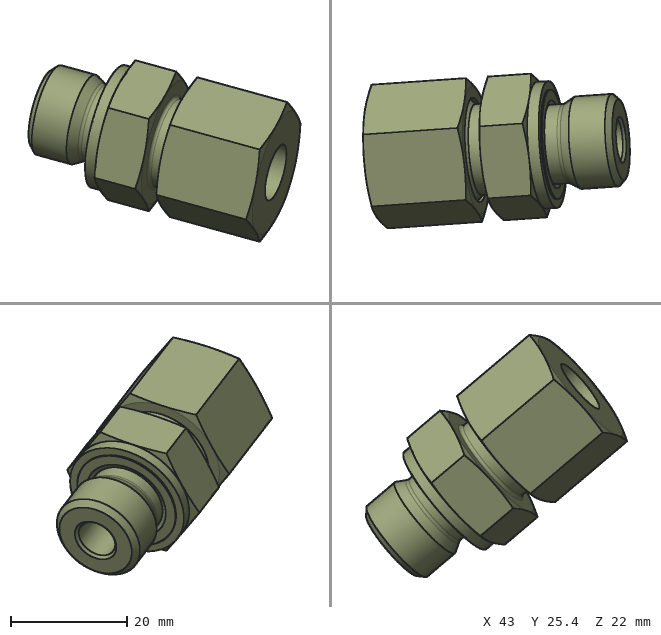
import cadquery as cq
import math


stud_diameter = 16.0
stud_end_diameter = 13.9
stud_chamfer = (stud_diameter - stud_end_diameter) / 2
thread_end_x = 7.45
relief_diameter = 13.7
relief_angle = math.radians(30)
relief_fillet = 1.2

collar_x = 12.05
hex_start_x = 14.05
hex_end_x = 22.5
across_flats = 22.0
collar_diameter = 21.9
hex_chamfer_angle = math.radians(15)

seal_diameter = 18.9
seal_proud = 0.27
seal_width = 1.5
seal_chamfer_depth = seal_proud
seal_chamfer_width = 0.75
seal_x = collar_x - seal_proud

neck_diameter = 15.7
neck_fillet = 0.6
tail_diameter = 18.0
tail_chamfer_x = 25.15
tail_chamfer = (tail_diameter - neck_diameter) / 2
tail_end_x = 36.0

bore_diameter = 7.0
bore_mouth_diameter = 8.0
bore_chamfer = (bore_mouth_diameter - bore_diameter) / 2

nut_x = 25.5
nut_end_x = 43.0
tube_diameter = 10.0


def cylinder(diameter, start_x, end_x):
    """Round bar along X."""
    return cq.Workplane("YZ", origin=(start_x, 0, 0)).circle(diameter / 2).extrude(end_x - start_x)


def chamfered_hexagon(start_x, end_x):
    """Hexagon along X with corners on +Y and -Y, both ends turned to a shallow cone."""
    corner_radius = across_flats / math.sqrt(3)
    flat_radius = across_flats / 2
    chamfer_length = (corner_radius - flat_radius) * math.tan(hex_chamfer_angle)
    prism = (
        cq.Workplane("YZ", origin=(start_x, 0, 0))
        .polygon(6, 2 * corner_radius)
        .extrude(end_x - start_x)
    )
    envelope = (
        cq.Workplane("XY")
        .moveTo(start_x, 0)
        .lineTo(start_x, flat_radius)
        .lineTo(start_x + chamfer_length, corner_radius)
        .lineTo(end_x - chamfer_length, corner_radius)
        .lineTo(end_x, flat_radius)
        .lineTo(end_x, 0)
        .close()
        .revolve(360, (0, 0, 0), (1, 0, 0))
    )
    return prism.intersect(envelope)


def make_stud():
    """Chamfered stud with a filleted conical run-out into the thread relief."""
    stud_radius = stud_diameter / 2
    relief_radius = relief_diameter / 2
    fillet_start_radius = relief_radius + relief_fillet * (1 - math.cos(relief_angle))
    fillet_start_x = thread_end_x + (stud_radius - fillet_start_radius) / math.tan(relief_angle)
    fillet_end_x = fillet_start_x + relief_fillet * math.sin(relief_angle)
    half_angle = relief_angle / 2
    fillet_middle = (
        fillet_end_x - relief_fillet * math.sin(half_angle),
        relief_radius + relief_fillet * (1 - math.cos(half_angle)),
    )
    return (
        cq.Workplane("XY")
        .lineTo(0, stud_end_diameter / 2)
        .lineTo(stud_chamfer, stud_radius)
        .lineTo(thread_end_x, stud_radius)
        .lineTo(fillet_start_x, fillet_start_radius)
        .threePointArc(fillet_middle, (fillet_end_x, relief_radius))
        .lineTo(hex_start_x, relief_radius)
        .lineTo(hex_start_x, 0)
        .close()
        .revolve(360, (0, 0, 0), (1, 0, 0))
    )


def make_tail():
    """Neck with a fillet at the hexagon, opening by a 45 degree cone to the thread diameter."""
    neck_radius = neck_diameter / 2
    tail_radius = tail_diameter / 2
    diagonal = neck_fillet * math.sqrt(0.5)
    fillet_center = (hex_end_x + neck_fillet, neck_radius + neck_fillet)
    return (
        cq.Workplane("XY")
        .moveTo(hex_end_x, 0)
        .lineTo(hex_end_x, neck_radius + neck_fillet)
        .threePointArc(
            (fillet_center[0] - diagonal, fillet_center[1] - diagonal),
            (fillet_center[0], neck_radius),
        )
        .lineTo(tail_chamfer_x, neck_radius)
        .lineTo(tail_chamfer_x + tail_chamfer, tail_radius)
        .lineTo(tail_end_x, tail_radius)
        .lineTo(tail_end_x, 0)
        .close()
        .revolve(360, (0, 0, 0), (1, 0, 0))
    )


def make_seal():
    """Flat ring around the relief, its proud part bevelled on the inside."""
    inner_radius = relief_diameter / 2
    outer_radius = seal_diameter / 2
    seal_end_x = seal_x + seal_width
    return (
        cq.Workplane("XY")
        .moveTo(seal_x, inner_radius + seal_chamfer_width)
        .lineTo(seal_x, outer_radius)
        .lineTo(seal_end_x, outer_radius)
        .lineTo(seal_end_x, inner_radius)
        .lineTo(seal_x + seal_chamfer_depth, inner_radius)
        .close()
        .revolve(360, (0, 0, 0), (1, 0, 0))
    )


def make_collar():
    """Round collar with a recess for the seal, open to the stud side."""
    collar = cylinder(collar_diameter, collar_x, hex_start_x)
    return collar.cut(cylinder(seal_diameter, collar_x, seal_x + seal_width))


def make_body():
    """Stud, collar, hexagon and tail in one piece, bored through."""
    body = (
        make_stud()
        .union(make_collar())
        .union(chamfered_hexagon(hex_start_x, hex_end_x))
        .union(make_tail())
    )
    bore = (
        cq.Workplane("XY")
        .lineTo(0, bore_mouth_diameter / 2)
        .lineTo(bore_chamfer, bore_diameter / 2)
        .lineTo(tail_end_x, bore_diameter / 2)
        .lineTo(tail_end_x, 0)
        .close()
        .revolve(360, (0, 0, 0), (1, 0, 0))
    )
    return body.cut(bore)


def make_nut():
    """Hexagonal nut with a threaded socket for the tail and a hole for the tube."""
    return (
        chamfered_hexagon(nut_x, nut_end_x)
        .cut(cylinder(tail_diameter, nut_x, tail_end_x))
        .cut(cylinder(tube_diameter, tail_end_x, nut_end_x))
    )


body = make_body()
seal = make_seal()
nut = make_nut()

result = cq.Compound.makeCompound([body.val(), seal.val(), nut.val()])